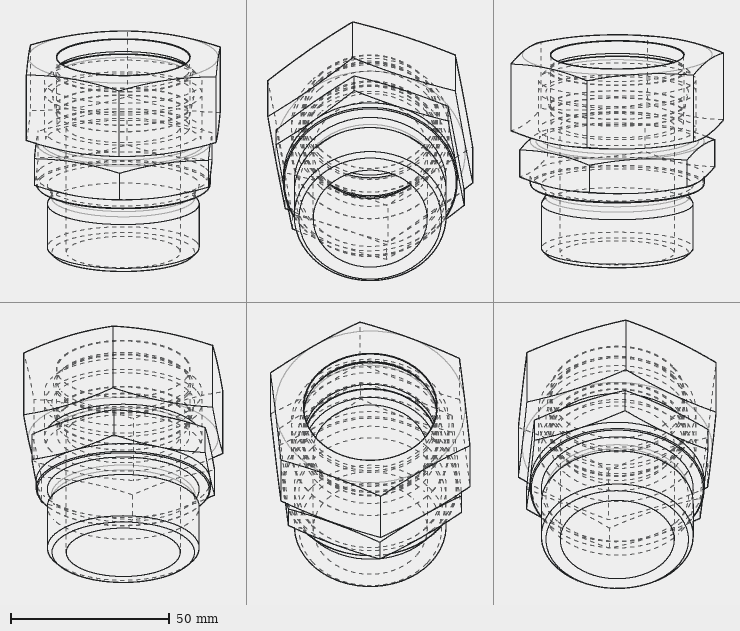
import math

import cadquery as cq


collar_bottom = 21.95
hex_bottom = 25.0
hex_top = 36.0
nut_bottom = 40.0
nut_height = 24.05
nut_top = nut_bottom + nut_height

flow_bore_d = 36.0
socket_d = 42.0
stud_d = 48.0
stud_end_d = 45.0
groove_d = 45.0
groove_round_r = 1.7
flank_angle = math.radians(30)
body_hex_flats = 55.0
collar_edge_chamfer = 0.35
neck_d = 49.0
neck_fillet_r = 1.2
socket_floor = 41.1
socket_depth = 4.35
cone_end_d = 42.25
cone_angle = math.radians(12)
cone_mouth_d = 45.0

thread_d = 49.8
nut_hex_flats = 60.0
nut_bore_d = 42.0
nut_mouth_d = 42.3
nut_bore_depth = 4.15

ring_bore_d = 42.25
ring_bottom = 47.7
ring_top_drop = 1.05
ring_mouth_d = 42.7

hex_chamfer_angle = math.radians(15)

socket_top = socket_floor + socket_depth
cone_bottom = socket_top + (cone_end_d - socket_d) / 2
body_top = cone_bottom + (cone_mouth_d - cone_end_d) / 2 / math.tan(cone_angle)
nut_bore_bottom = nut_top - nut_bore_depth
nut_cone_bottom = nut_bore_bottom - (thread_d - nut_bore_d) / 2
ring_top = nut_bore_bottom - ring_top_drop


def revolve_outline(outline):
    """Turn a closed (radius, height) outline on the XZ plane about the Z axis."""
    return outline.close().revolve(360, (0, 0, 0), (0, 1, 0))


def chamfered_hexagon(flats, bottom, top):
    """Hexagonal prism with two corners on the Y axis and both ends chamfered."""
    corner_d = flats / math.cos(math.radians(30))
    prism = (
        cq.Workplane("XY", origin=(0, 0, bottom))
        .polygon(6, corner_d)
        .extrude(top - bottom)
        .rotate((0, 0, 0), (0, 0, 1), 30)
    )
    flat_r = flats / 2
    corner_r = corner_d / 2
    drop = (corner_r - flat_r) * math.tan(hex_chamfer_angle)
    envelope = revolve_outline(
        cq.Workplane("XZ")
        .moveTo(0, bottom)
        .lineTo(flat_r, bottom)
        .lineTo(corner_r, bottom + drop)
        .lineTo(corner_r, top - drop)
        .lineTo(flat_r, top)
        .lineTo(0, top)
    )
    return prism.intersect(envelope)


def make_stud_end():
    """Stud with end chamfer, relief groove with a rounded root, and sealing collar."""
    stud_r = stud_d / 2
    end_chamfer = (stud_d - stud_end_d) / 2
    root_r = groove_d / 2
    arc_half_height = groove_round_r * math.sin(flank_angle)
    arc_end_r = root_r + groove_round_r * (1 - math.cos(flank_angle))
    flank_height = (stud_r - arc_end_r) / math.tan(flank_angle)
    root_height = collar_bottom - flank_height - arc_half_height
    collar_r = body_hex_flats / 2
    return revolve_outline(
        cq.Workplane("XZ")
        .moveTo(0, 0)
        .lineTo(stud_end_d / 2, 0)
        .lineTo(stud_r, end_chamfer)
        .lineTo(stud_r, root_height - arc_half_height - flank_height)
        .lineTo(arc_end_r, root_height - arc_half_height)
        .threePointArc((root_r, root_height), (arc_end_r, root_height + arc_half_height))
        .lineTo(stud_r, collar_bottom)
        .lineTo(collar_r - collar_edge_chamfer, collar_bottom)
        .lineTo(collar_r, collar_bottom + collar_edge_chamfer)
        .lineTo(collar_r, hex_bottom)
        .lineTo(0, hex_bottom)
    )


def make_nut_end():
    """Body end above the hexagon: filleted neck, then the part inside the nut."""
    neck_r = neck_d / 2
    thread_r = thread_d / 2
    runout_angle = math.acos(1 - (thread_r - neck_r) / neck_fillet_r)
    neck_top = nut_bottom - neck_fillet_r * math.sin(runout_angle)
    return revolve_outline(
        cq.Workplane("XZ")
        .moveTo(0, hex_top)
        .lineTo(neck_r + neck_fillet_r, hex_top)
        .radiusArc((neck_r, hex_top + neck_fillet_r), neck_fillet_r)
        .lineTo(neck_r, neck_top)
        .radiusArc((thread_r, nut_bottom), neck_fillet_r)
        .lineTo(thread_r, body_top)
        .lineTo(0, body_top)
    )


def make_body_bore():
    """Flow bore, tube socket and sealing cone."""
    return revolve_outline(
        cq.Workplane("XZ")
        .moveTo(0, 0)
        .lineTo(flow_bore_d / 2, 0)
        .lineTo(flow_bore_d / 2, socket_floor)
        .lineTo(socket_d / 2, socket_floor)
        .lineTo(socket_d / 2, socket_top)
        .lineTo(cone_end_d / 2, cone_bottom)
        .lineTo(cone_mouth_d / 2, body_top)
        .lineTo(0, body_top)
    )


def make_body():
    hexagon = chamfered_hexagon(body_hex_flats, hex_bottom, hex_top)
    return make_stud_end().union(hexagon).union(make_nut_end()).cut(make_body_bore())


def make_nut():
    mouth_chamfer = (nut_mouth_d - nut_bore_d) / 2
    bore = revolve_outline(
        cq.Workplane("XZ")
        .moveTo(0, nut_bottom)
        .lineTo(thread_d / 2, nut_bottom)
        .lineTo(thread_d / 2, nut_cone_bottom)
        .lineTo(nut_bore_d / 2, nut_bore_bottom)
        .lineTo(nut_bore_d / 2, nut_top - mouth_chamfer)
        .lineTo(nut_mouth_d / 2, nut_top)
        .lineTo(0, nut_top)
    )
    return chamfered_hexagon(nut_hex_flats, nut_bottom, nut_top).cut(bore)


def make_ring():
    """Ring wedged between the sealing cone of the body and the cone of the nut."""
    bottom_outer_r = cone_end_d / 2 + (ring_bottom - cone_bottom) * math.tan(cone_angle)
    mouth_depth = (ring_mouth_d - ring_bore_d) / 2 / math.tan(cone_angle)
    return revolve_outline(
        cq.Workplane("XZ")
        .moveTo(ring_bore_d / 2, ring_bottom)
        .lineTo(bottom_outer_r, ring_bottom)
        .lineTo(cone_mouth_d / 2, body_top)
        .lineTo(thread_d / 2, body_top)
        .lineTo(thread_d / 2, nut_cone_bottom)
        .lineTo(nut_bore_d / 2 + ring_top_drop, ring_top)
        .lineTo(ring_mouth_d / 2, ring_top)
        .lineTo(ring_bore_d / 2, ring_top - mouth_depth)
    )


body = make_body()
nut = make_nut()
ring = make_ring()

result = cq.Compound.makeCompound([body.val(), nut.val(), ring.val()])